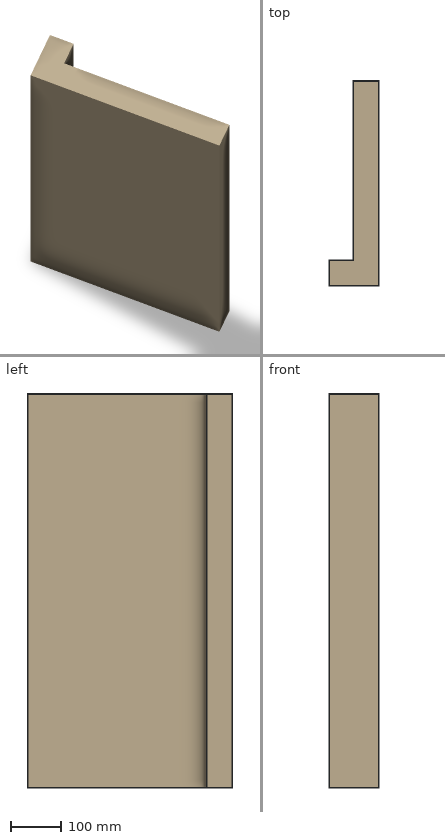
import cadquery as cq

width = 98.5
depth = 406.0
height = 781.0

panel_thickness = 51.0
lip_thickness = panel_thickness

panel_left = width - panel_thickness
section = [
    (0, 0),
    (width, 0),
    (width, depth),
    (panel_left, depth),
    (panel_left, lip_thickness),
    (0, lip_thickness),
]

result = cq.Workplane("XY").polyline(section).close().extrude(height)